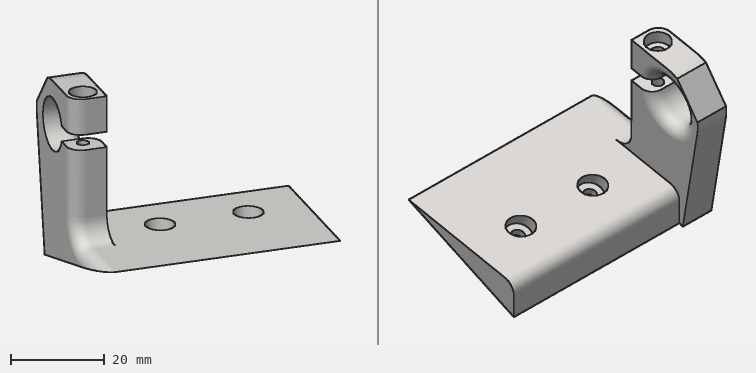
import cadquery as cq
import math

total_width = 41.0
total_length = 54.0
clamp_thickness = 8.0

bore_radius = 6.0
head_radius = 10.0
bore_x = head_radius
bore_z = 32.15
clamp_top = bore_z + head_radius
bore_flare_radius = 3.0
slot_width = 3.5
clamp_right = 22.0
flat_distance = 8.55
flat_direction = 140.0
side_lean = 9.0
edge_radius = 3.25
inner_corner_radius = 5.0

base_slope = 15.0
corner_x = 4.95
plate_left = 6.05
plate_edge_radius = 3.0
slope_rise = math.tan(math.radians(base_slope))
plate_top = (total_width - corner_x) * slope_rise

screw_x = 18.0
screw_y = clamp_thickness / 2
screw_head_diameter = 6.0
screw_head_depth = 3.0
clearance_diameter = 3.2
thread_diameter = 2.65
thread_depth = 10.0
drill_tip_angle = 118.0

mount_distance = 16.3
mount_first_y = 21.0
mount_pitch = 20.0
mount_count = 2
mount_head_diameter = 6.5
mount_seat_thickness = 2.0

cut_margin = 10.8
pick_margin = 0.55


def head_point(angle):
    """Point on the outer rounding of the clamp head, angle in degrees."""
    turn = math.radians(angle)
    return (bore_x + head_radius * math.cos(turn), bore_z + head_radius * math.sin(turn))


def extrude_from_front(sketch, length):
    """Extrude an XZ sketch from the front face toward +Y."""
    return sketch.extrude(-length)


def make_clamp():
    """Clamp with its rounded front edge, still reaching below the sloping base."""
    half_flat = math.degrees(math.acos(flat_distance / head_radius))
    flat_top = flat_direction - half_flat
    flat_bottom = flat_direction + half_flat
    side_tangent = 180 + side_lean
    below = -cut_margin
    side_foot_x = corner_x + cut_margin * math.tan(math.radians(side_lean))
    outline = (
        cq.Workplane("XZ")
        .moveTo(side_foot_x, below)
        .lineTo(*head_point(side_tangent))
        .threePointArc(head_point((side_tangent + flat_bottom) / 2), head_point(flat_bottom))
        .lineTo(*head_point(flat_top))
        .threePointArc(head_point((flat_top + 90) / 2), head_point(90))
        .lineTo(clamp_right, clamp_top)
        .lineTo(clamp_right, plate_top + inner_corner_radius)
        .radiusArc((clamp_right + inner_corner_radius, plate_top), -inner_corner_radius)
        .lineTo(total_width, plate_top)
        .lineTo(total_width, below)
        .close()
    )
    clamp = extrude_from_front(outline, clamp_thickness)
    edge_box = cq.selectors.BoxSelector(
        (clamp_right - pick_margin, -pick_margin, plate_top - pick_margin),
        (total_width + pick_margin, pick_margin, clamp_top - pick_margin),
    )
    return clamp.edges(edge_box).fillet(edge_radius)


def make_plate():
    """Plate behind the clamp with a rounded upper left edge."""
    size = (total_width - plate_left, total_length - clamp_thickness, plate_top + cut_margin)
    plate = cq.Workplane("XY").box(*size, centered=False)
    plate = plate.edges("|Y and <X and >Z").fillet(plate_edge_radius)
    return plate.translate((plate_left, clamp_thickness, -cut_margin))


def make_base_cut():
    """Everything below the sloping base."""
    left = -cut_margin
    right = total_width + cut_margin
    triangle = (
        cq.Workplane("XZ")
        .moveTo(left, (left - corner_x) * slope_rise)
        .lineTo(right, (right - corner_x) * slope_rise)
        .lineTo(right, -3 * cut_margin)
        .lineTo(left, -3 * cut_margin)
        .close()
    )
    return extrude_from_front(triangle, total_length)


def make_bore():
    """Bore along Y whose rear edge flares out with a full quarter round."""
    flare_start = clamp_thickness - bore_flare_radius
    mouth_radius = bore_radius + bore_flare_radius
    half_section = (
        cq.Workplane("XY")
        .lineTo(bore_radius, 0)
        .lineTo(bore_radius, flare_start)
        .radiusArc((mouth_radius, clamp_thickness), bore_flare_radius)
        .lineTo(0, clamp_thickness)
        .close()
    )
    return half_section.revolve(360, (0, 0), (0, 1)).translate((bore_x, 0, bore_z))


def make_slot():
    """Slot from the bore out through the clamp's right side."""
    slot_length = clamp_right - bore_x
    slot = cq.Workplane("XZ").center(bore_x + slot_length / 2, bore_z).rect(slot_length, slot_width)
    return extrude_from_front(slot, clamp_thickness)


def make_screw_hole():
    """Counterbore and clearance hole in the upper jaw, blind threaded hole in the lower."""
    screw_head_radius = screw_head_diameter / 2
    clearance_radius = clearance_diameter / 2
    thread_radius = thread_diameter / 2
    seat_z = clamp_top - screw_head_depth
    thread_end = bore_z - slot_width / 2 - thread_depth
    tip_z = thread_end - thread_radius / math.tan(math.radians(drill_tip_angle / 2))
    half_section = [
        (0, clamp_top),
        (screw_head_radius, clamp_top),
        (screw_head_radius, seat_z),
        (clearance_radius, seat_z),
        (clearance_radius, bore_z),
        (thread_radius, bore_z),
        (thread_radius, thread_end),
        (0, tip_z),
    ]
    hole = cq.Workplane("XZ").polyline(half_section).close().revolve(360, (0, 0), (0, 1))
    return hole.translate((screw_x, screw_y, 0))


def make_mounting_hole(y):
    """Counterbored hole whose axis is square to the sloping base."""
    slope = math.radians(base_slope)
    start = (corner_x + mount_distance * math.cos(slope), y, mount_distance * math.sin(slope))
    base_plane = cq.Plane(
        origin=start,
        xDir=(math.cos(slope), 0, math.sin(slope)),
        normal=(-math.sin(slope), 0, math.cos(slope)),
    )
    through = cq.Workplane(base_plane).circle(clearance_diameter / 2).extrude(cut_margin, both=True)
    seat = cq.Workplane(base_plane).workplane(offset=mount_seat_thickness)
    return through.union(seat.circle(mount_head_diameter / 2).extrude(cut_margin))


result = make_clamp().union(make_plate())
result = result.cut(make_base_cut())
result = result.cut(make_bore())
result = result.cut(make_slot())
result = result.cut(make_screw_hole())
for i in range(mount_count):
    result = result.cut(make_mounting_hole(mount_first_y + i * mount_pitch))